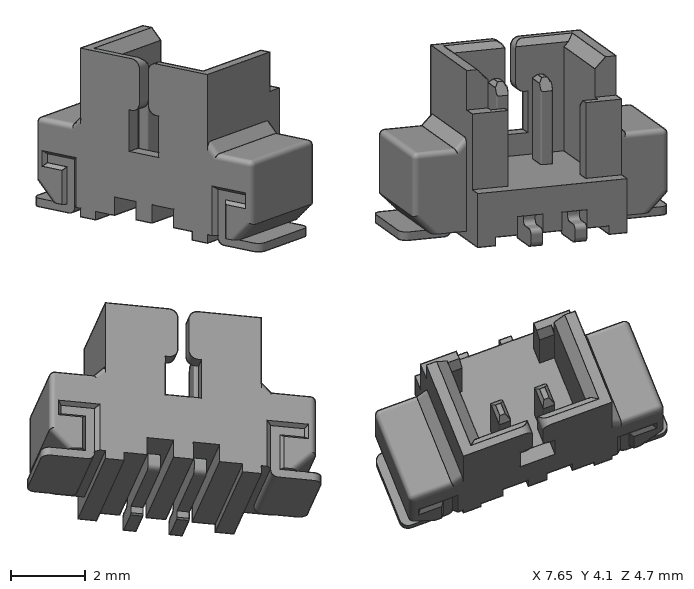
import cadquery as cq


BODY_WIDTH = 4.27
HEIGHT = 4.7
BODY_DEPTH = 2.76
POST_BACK = 3.19
FLOOR_BACK = 3.6
POST_TOP = 3.6
FLOOR_TOP = 1.5
STANDOFF = 0.24
RAIL_WIDTH = 0.51

CAVITY_WIDTH = 3.06
FRONT_WALL = 0.39
MOUTH_CHAMFER = 0.305
FRONT_CHAMFER = 0.175
POST_FRONT = 2.75
POST_GAP = 2.22
POST_CHAMFER_DEPTH = 0.22
POST_CHAMFER_HEIGHT = 0.19

SLOT_WIDTH = 0.3
SLOT_ROUND = 0.25
WINDOW_WIDTH = 0.995
WINDOW_BOTTOM = 2.1
WINDOW_TOP = 3.26

WING_REACH = 3.64
WING_TOP = 2.52
WING_ROOT_CHAMFER = 0.3
WING_LOWER_CHAMFER = 0.52
WING_ROUND = 0.15

METAL = 0.24
TAB_REACH = 3.825
TAB_FRONT = 0.11
TAB_BACK = 2.29
TAB_ROUND = 0.24
LEG_INNER = 2.41
LEG_WIDTH = 0.25
BEND_ROUND = 0.19
ARM_REACH = 3.33
ARM_TOP = 1.53
ARM_WIDTH = 0.25
RECESS_BEVEL = 0.09
RECESS_INNER_BEVEL = 0.12

PIN_PITCH = 1.26
PIN_WIDTH = 0.34
PIN_FRONT = 0.795
PIN_DEPTH = 0.7
PIN_TOP = 3.87
PIN_EDGE_ROUND = 0.045
TIP_INSET_X = 0.09
TIP_HEIGHT_X = 0.14
TIP_INSET_Y = 0.19
TIP_FRONT_HEIGHT = 0.15
TIP_BACK_HEIGHT = 0.345
TAIL_BACK = 4.1
TAIL_THICKNESS = 0.49
TAIL_RISE = 0.51
TAIL_ROUND = 0.145
TAIL_CHAMFER = 0.045
TAIL_STEP = 3.53
NOTCH_WIDTH = 0.72
NOTCH_TOP = STANDOFF + TAIL_RISE

HALF_BODY = BODY_WIDTH / 2


def block(x_range, y_range, z_range):
    """Axis-aligned box between pairs of limits."""
    (x0, x1), (y0, y1), (z0, z1) = x_range, y_range, z_range
    return cq.Workplane("XY").box(x1 - x0, y1 - y0, z1 - z0, centered=False).translate((x0, y0, z0))


def centred_block(width, y_range, z_range):
    """Box centred on X = 0."""
    return block((-width / 2, width / 2), y_range, z_range)


def along_x(points, width):
    """Extrude a (Y, Z) outline to a width centred on X = 0."""
    return cq.Workplane("YZ").polyline(points).close().extrude(width / 2, both=True)


def along_y(points, y_start, y_end):
    """Extrude an (X, Z) outline from y_start back to y_end."""
    plane = cq.Workplane("XZ", origin=(0, y_start, 0))
    return plane.polyline(points).close().extrude(y_start - y_end)


def make_body():
    stepped_side = [
        (0, 0), (FLOOR_BACK, 0),
        (FLOOR_BACK, FLOOR_TOP), (POST_BACK, FLOOR_TOP),
        (POST_BACK, POST_TOP), (BODY_DEPTH, POST_TOP),
        (BODY_DEPTH, HEIGHT), (0, HEIGHT),
    ]
    body = along_x(stepped_side, BODY_WIDTH)
    underside = centred_block(BODY_WIDTH - 2 * RAIL_WIDTH, (0, FLOOR_BACK), (0, STANDOFF))
    return body.cut(underside)


def make_cavity():
    cavity = centred_block(CAVITY_WIDTH, (FRONT_WALL, POST_FRONT), (FLOOR_TOP, HEIGHT))
    above_posts = centred_block(CAVITY_WIDTH, (FRONT_WALL, BODY_DEPTH), (POST_TOP, HEIGHT))
    between_posts = centred_block(POST_GAP, (FRONT_WALL, POST_BACK), (FLOOR_TOP, HEIGHT))

    mouth_half = CAVITY_WIDTH / 2 + MOUTH_CHAMFER
    mouth_base = HEIGHT - mouth_half
    side_mouth = along_y([(0, mouth_base), (mouth_half, HEIGHT), (-mouth_half, HEIGHT)], 0, BODY_DEPTH)
    front_mouth = along_x(
        [
            (FRONT_WALL - FRONT_CHAMFER, HEIGHT), (FRONT_WALL, HEIGHT - FRONT_CHAMFER),
            (BODY_DEPTH, HEIGHT - FRONT_CHAMFER), (BODY_DEPTH, HEIGHT),
        ],
        2 * mouth_half,
    )
    behind_wall = centred_block(2 * mouth_half, (FRONT_WALL, BODY_DEPTH), (FLOOR_TOP, HEIGHT))
    mouth = side_mouth.intersect(front_mouth.union(behind_wall))
    post_lead_in = along_x(
        [
            (POST_FRONT, POST_TOP - POST_CHAMFER_HEIGHT),
            (POST_FRONT + POST_CHAMFER_DEPTH, POST_TOP),
            (POST_FRONT, POST_TOP),
        ],
        CAVITY_WIDTH,
    )
    return cavity.union(above_posts).union(between_posts).union(mouth).union(post_lead_in)


def cut_keyhole(body):
    wall = (0, FRONT_WALL)
    slot = centred_block(SLOT_WIDTH, wall, (WINDOW_TOP, HEIGHT))
    window = centred_block(WINDOW_WIDTH, wall, (WINDOW_BOTTOM, WINDOW_TOP))
    for side in (-1, 1):
        for level, inward in ((HEIGHT, -1), (WINDOW_TOP, 1)):
            corner_x = side * SLOT_WIDTH / 2
            centre_x = corner_x + side * SLOT_ROUND
            centre_z = level + inward * SLOT_ROUND
            x_range = sorted((corner_x, centre_x))
            z_range = sorted((level, centre_z))
            round_tool = cq.Workplane("XZ", origin=(centre_x, 0, centre_z)).circle(SLOT_ROUND)
            slot = slot.union(block(x_range, wall, z_range).cut(round_tool.extrude(-FRONT_WALL)))
    return body.cut(slot).cut(window)


def make_wing():
    """Right wing, reaching into the side wall."""
    root_top = WING_TOP + WING_ROOT_CHAMFER
    lower_corner = WING_REACH - WING_LOWER_CHAMFER
    outline = [
        (HALF_BODY, STANDOFF),
        (lower_corner, STANDOFF),
        (WING_REACH, STANDOFF + WING_LOWER_CHAMFER),
        (WING_REACH, WING_TOP),
        (HALF_BODY + WING_ROOT_CHAMFER, WING_TOP),
        (HALF_BODY, root_top),
    ]
    wing = along_y(outline, 0, BODY_DEPTH)
    top_outer_edge = cq.selectors.NearestToPointSelector((WING_REACH, BODY_DEPTH / 2, WING_TOP))
    wing = wing.edges(top_outer_edge).fillet(WING_ROUND)

    margin = 0.01
    rim = cq.selectors.BoxSelector(
        (HALF_BODY + margin, -margin, STANDOFF + margin),
        (WING_REACH + margin, BODY_DEPTH + margin, root_top + margin),
    )
    return wing.edges("#Y").edges(rim).fillet(WING_ROUND)


def tab_outline(arm_end, top, arm_bottom, leg_outer, leg_inner, bottom):
    """Upside-down L made of a leg and an arm pointing outward."""
    return [
        (leg_inner, bottom), (leg_inner, top), (arm_end, top),
        (arm_end, arm_bottom), (leg_outer, arm_bottom), (leg_outer, bottom),
    ]


def make_tab_recess():
    """Bevelled recess that exposes the end of the right solder tab."""
    leg_outer = LEG_INNER + LEG_WIDTH
    arm_bottom = ARM_TOP - ARM_WIDTH
    inner = tab_outline(ARM_REACH, ARM_TOP, arm_bottom, leg_outer, LEG_INNER, 0)
    outer = tab_outline(
        ARM_REACH + RECESS_BEVEL, ARM_TOP + RECESS_BEVEL, arm_bottom - RECESS_BEVEL,
        leg_outer + RECESS_BEVEL, LEG_INNER - RECESS_INNER_BEVEL, 0,
    )
    recess = (
        cq.Workplane("XZ").polyline(outer).close()
        .workplane(offset=-TAB_FRONT).polyline(inner).close()
        .loft(ruled=True)
    )
    above_underside = block((0, TAB_REACH), (0, TAB_BACK), (STANDOFF, HEIGHT))
    return recess.intersect(above_underside)


def make_tab():
    """Right solder tab: a bent strip with a flat foot."""
    leg_outer = LEG_INNER + LEG_WIDTH
    tab_y = (TAB_FRONT, TAB_BACK)
    foot = block((LEG_INNER, TAB_REACH), tab_y, (0, METAL)).edges("|Z and >X").fillet(TAB_ROUND)
    outline = tab_outline(ARM_REACH, ARM_TOP, ARM_TOP - ARM_WIDTH, leg_outer, LEG_INNER, 0)
    strip = along_y(outline, *tab_y).union(foot)
    return strip.edges("|Y and <X").edges("<Z").fillet(BEND_ROUND)


def make_pin():
    """Pin centred on X = 0: a tapered blade on a stepped solder tail."""
    pin_back = PIN_FRONT + PIN_DEPTH
    blade = centred_block(PIN_WIDTH, (PIN_FRONT, pin_back), (NOTCH_TOP, PIN_TOP))
    blade = blade.edges("|Z").fillet(PIN_EDGE_ROUND)
    half_width = PIN_WIDTH / 2
    front_outline = [
        (-half_width, NOTCH_TOP), (half_width, NOTCH_TOP),
        (half_width, PIN_TOP - TIP_HEIGHT_X), (half_width - TIP_INSET_X, PIN_TOP),
        (TIP_INSET_X - half_width, PIN_TOP), (-half_width, PIN_TOP - TIP_HEIGHT_X),
    ]
    side_outline = [
        (PIN_FRONT, NOTCH_TOP), (pin_back, NOTCH_TOP),
        (pin_back, PIN_TOP - TIP_BACK_HEIGHT), (pin_back - TIP_INSET_Y, PIN_TOP),
        (PIN_FRONT + TIP_INSET_Y, PIN_TOP), (PIN_FRONT, PIN_TOP - TIP_FRONT_HEIGHT),
    ]
    blade = blade.intersect(along_y(front_outline, PIN_FRONT, pin_back))
    blade = blade.intersect(along_x(side_outline, PIN_WIDTH))

    raised = centred_block(PIN_WIDTH, (PIN_FRONT, TAIL_STEP), (STANDOFF, NOTCH_TOP))
    raised = raised.edges("|X and <Y").fillet(TAIL_ROUND)
    foot = centred_block(PIN_WIDTH, (TAIL_STEP - TAIL_THICKNESS, TAIL_BACK), (0, TAIL_THICKNESS))
    foot = foot.edges("|X and >Y").fillet(TAIL_ROUND)
    foot = foot.edges("|X and <Y and <Z").chamfer(TAIL_CHAMFER)
    tail = raised.union(foot)
    step_corner = cq.selectors.NearestToPointSelector((0, TAIL_STEP, TAIL_THICKNESS))
    tail = tail.edges(step_corner).fillet(TAIL_ROUND)
    return blade.union(tail)


result = cut_keyhole(make_body().cut(make_cavity()))

right_side = make_wing().cut(make_tab_recess()).union(make_tab())
result = result.union(right_side).union(right_side.mirror("YZ"))

for pin_x in (-PIN_PITCH / 2, PIN_PITCH / 2):
    notch = centred_block(NOTCH_WIDTH, (0, FLOOR_BACK), (0, NOTCH_TOP)).translate((pin_x, 0, 0))
    result = result.cut(notch).union(make_pin().translate((pin_x, 0, 0)))